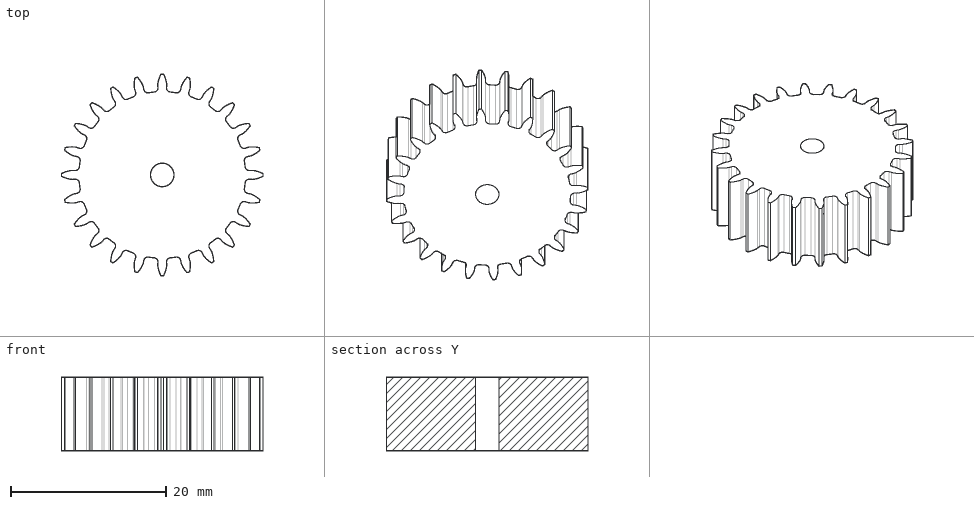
import cadquery as cq
import math

module = 1.0
tooth_count = 24
pressure_angle = math.radians(14.5)
tooth_thickness = 1.09
dedendum = 1.25 * module
root_fillet = 0.5
face_width = 9.5
bore_diameter = 3.0
involute_spans = 6

pitch_radius = module * tooth_count / 2
base_radius = pitch_radius * math.cos(pressure_angle)
tip_radius = pitch_radius + module
root_radius = pitch_radius - dedendum
tooth_pitch = 2 * math.pi / tooth_count


def involute_angle(radius):
    """Angle swept by the involute between the base circle and the given radius."""
    roll = math.sqrt(max((radius / base_radius) ** 2 - 1, 0))
    return roll - math.atan(roll)


base_half_angle = tooth_thickness / 2 / pitch_radius + involute_angle(pitch_radius)

fillet_center_radius = root_radius + root_fillet
fillet_half_angle = base_half_angle + math.asin(root_fillet / fillet_center_radius)
fillet_top_radius = math.sqrt(fillet_center_radius**2 - root_fillet**2)


def polar(radius, angle):
    return (radius * math.cos(angle), radius * math.sin(angle))


def fillet_middle(tooth_angle, side):
    """Point halfway along the root fillet on one side (-1 or 1) of a tooth."""
    center_x, center_y = polar(fillet_center_radius, tooth_angle + side * fillet_half_angle)
    to_root = tooth_angle + side * fillet_half_angle + math.pi
    to_flank = tooth_angle + side * (base_half_angle - math.pi / 2)
    middle = math.atan2(
        math.sin(to_root) + math.sin(to_flank),
        math.cos(to_root) + math.cos(to_flank),
    )
    offset_x, offset_y = polar(root_fillet, middle)
    return (center_x + offset_x, center_y + offset_y)


def involute_flank(tooth_angle, side):
    """Points on one flank from the base circle to the tip, closer together near the base circle."""
    points = []
    for step in range(involute_spans + 1):
        radius = base_radius + (tip_radius - base_radius) * (step / involute_spans) ** 2
        half_angle = base_half_angle - involute_angle(radius)
        points.append(polar(radius, tooth_angle + side * half_angle))
    return points


def add_tooth(outline, tooth_angle):
    """Draw one tooth and the root arc that leads to the next tooth."""
    rising = involute_flank(tooth_angle, -1)
    falling = involute_flank(tooth_angle, 1)[::-1]
    falling_root = polar(root_radius, tooth_angle + fillet_half_angle)
    gap_middle = polar(root_radius, tooth_angle + tooth_pitch / 2)
    next_root = polar(root_radius, tooth_angle + tooth_pitch - fillet_half_angle)

    outline = outline.threePointArc(
        fillet_middle(tooth_angle, -1),
        polar(fillet_top_radius, tooth_angle - base_half_angle),
    )
    outline = outline.lineTo(*rising[0])
    outline = outline.spline(rising[1:], includeCurrent=True)
    outline = outline.threePointArc(polar(tip_radius, tooth_angle), falling[0])
    outline = outline.spline(falling[1:], includeCurrent=True)
    outline = outline.lineTo(*polar(fillet_top_radius, tooth_angle + base_half_angle))
    outline = outline.threePointArc(fillet_middle(tooth_angle, 1), falling_root)
    return outline.threePointArc(gap_middle, next_root)


def make_gear_blank():
    """Toothed body, with one tooth centered on +X."""
    outline = cq.Workplane("XY").moveTo(*polar(root_radius, -fillet_half_angle))
    for index in range(tooth_count):
        outline = add_tooth(outline, index * tooth_pitch)
    return outline.close().extrude(face_width)


def cut_bore(gear):
    """Through bore on the gear axis."""
    return gear.faces(">Z").workplane(origin=(0, 0, face_width)).hole(bore_diameter)


result = cut_bore(make_gear_blank())